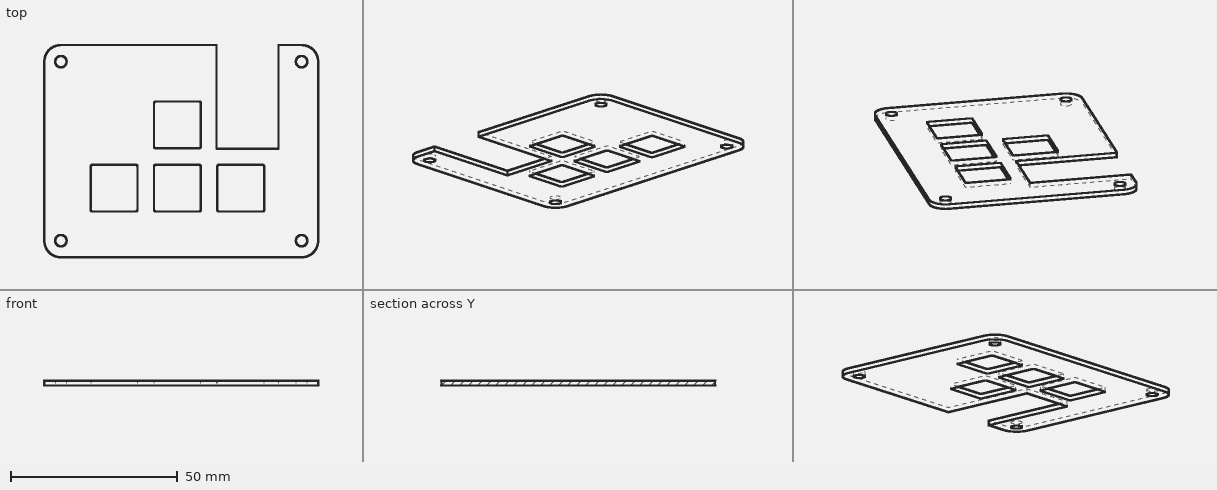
import cadquery as cq

length = 82.3
width = 63.8
thickness = 1.5
corner_radius = 5.0

hole_diameter = 3.4
hole_inset = corner_radius

key_size = 14.0
key_corner_radius = 0.5
key_pitch = 19.0
middle_key_x = -1.15
middle_key_y = -11.1

notch_left = 10.6
notch_width = 18.5
notch_depth = 31.1


def make_plate():
    plate = cq.Workplane("XY").box(length, width, thickness)
    return plate.edges("|Z").fillet(corner_radius)


def make_mounting_holes():
    return (
        cq.Workplane("XY")
        .rect(length - 2 * hole_inset, width - 2 * hole_inset, forConstruction=True)
        .vertices()
        .circle(hole_diameter / 2)
        .extrude(thickness, both=True)
    )


def make_key_openings():
    centers = [(middle_key_x + column * key_pitch, middle_key_y) for column in (-1, 0, 1)]
    centers.append((middle_key_x, middle_key_y + key_pitch))
    openings = cq.Workplane("XY").pushPoints(centers).rect(key_size, key_size)
    return openings.extrude(thickness, both=True).edges("|Z").fillet(key_corner_radius)


def make_notch():
    return (
        cq.Workplane("XY")
        .center(notch_left + notch_width / 2, width / 2 - notch_depth / 2)
        .rect(notch_width, notch_depth)
        .extrude(thickness, both=True)
    )


result = make_plate().cut(make_mounting_holes()).cut(make_key_openings()).cut(make_notch())